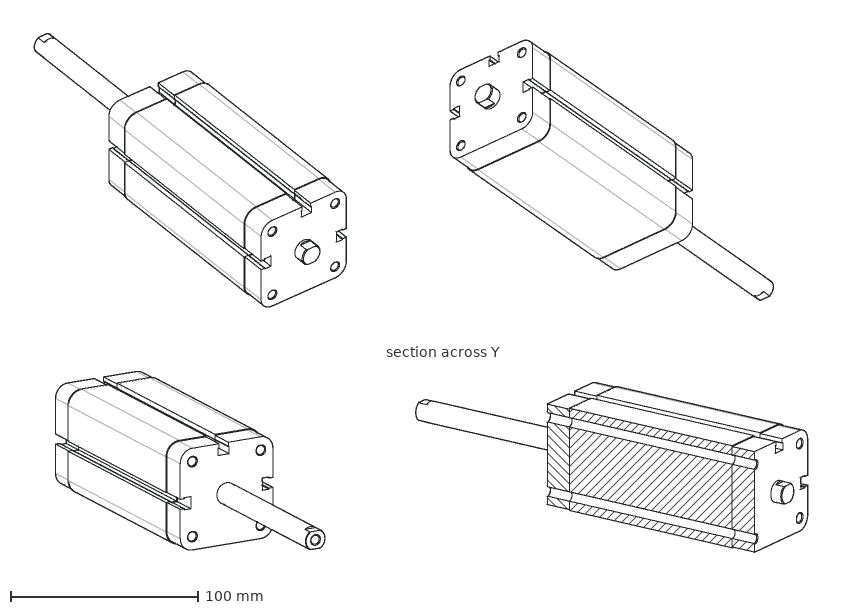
import cadquery as cq
import math


barrel_size = 58.0
cap_step = 0.5
cap_size = barrel_size - 2 * cap_step
cap_length = 14.5
body_length = 135.5
barrel_length = body_length - 2 * cap_length

hole_spacing = 42.0
hole_diameter = 5.0
hole_chamfer = 0.5
barrel_corner_radius = (barrel_size - hole_spacing) / 2
cap_corner_radius = barrel_corner_radius - cap_step

slot_offset = 1.8
mouth_width = 5.6
mouth_depth = 3.0
cap_slot_bottom_width = 6.8
cap_slot_depth = 7.0
barrel_slot_bottom_width = 6.0
barrel_slot_depth = 6.5
slot_turns = (0, 90, -90)

rod_diameter = 12.0
rod_front_length = 96.5
rod_length = 239.0
rod_rear_chamfer = 0.5
rod_front_chamfer = 0.25
flat_width = 10.0
flat_length = 5.5
thread_hole_diameter = 5.0
thread_hole_chamfer = 0.5
thread_hole_depth = 16.0
drill_point_angle = 118.0


def bar(start, length, width, height, y=0, z=0):
    """Rectangular bar along X, centred on the given Y and Z."""
    return cq.Workplane("YZ", origin=(start, y, z)).rect(width, height).extrude(length)


def slots(bottom_width, depth):
    """Cutter for the three sensor slots over the full body length."""
    side = barrel_size / 2
    bottom_height = depth - mouth_depth
    bottom_centre = side - mouth_depth - bottom_height / 2
    mouth = bar(0, body_length, mouth_width, depth, slot_offset, side - depth / 2)
    bottom = bar(0, body_length, bottom_width, bottom_height, slot_offset, bottom_centre)
    top_slot = mouth.union(bottom)
    cutter = cq.Workplane("YZ")
    for turn in slot_turns:
        cutter = cutter.add(top_slot.rotate((0, 0, 0), (1, 0, 0), turn))
    return cutter.combine()


def countersunk_hole():
    """Cutter for one screw hole through the body, chamfered at both outer faces."""
    radius = hole_diameter / 2
    rim_radius = radius + hole_chamfer
    return (
        cq.Workplane("XY")
        .lineTo(0, rim_radius)
        .lineTo(hole_chamfer, radius)
        .lineTo(body_length - hole_chamfer, radius)
        .lineTo(body_length, rim_radius)
        .lineTo(body_length, 0)
        .close()
        .revolve(360, (0, 0, 0), (1, 0, 0))
    )


def screw_holes():
    """Cutter for the four corner screw holes."""
    reach = hole_spacing / 2
    cutter = cq.Workplane("YZ")
    for y in (-reach, reach):
        for z in (-reach, reach):
            cutter = cutter.add(countersunk_hole().translate((0, y, z)))
    return cutter.combine()


def body_section(start, length, size, corner_radius, slot_bottom_width, slot_depth):
    """Rounded square section of the body with slots, screw holes and a bore for the rod."""
    rod_bore = cq.Workplane("YZ").circle(rod_diameter / 2).extrude(body_length)
    return (
        bar(start, length, size, size)
        .edges("|X")
        .fillet(corner_radius)
        .cut(slots(slot_bottom_width, slot_depth))
        .cut(screw_holes())
        .cut(rod_bore)
    )


def wrench_flats(start):
    """Cutter for a pair of flats, on the top and bottom of the rod."""
    around_rod = bar(start, flat_length, rod_diameter, rod_diameter)
    return around_rod.cut(bar(start, flat_length, rod_diameter, flat_width))


def threaded_hole():
    """Cutter for the blind hole in the front end of the rod, ending in a drill point."""
    radius = thread_hole_diameter / 2
    point_length = radius / math.tan(math.radians(drill_point_angle / 2))
    return (
        cq.Workplane("XY", origin=(-rod_front_length, 0, 0))
        .lineTo(0, radius + thread_hole_chamfer)
        .lineTo(thread_hole_chamfer, radius)
        .lineTo(thread_hole_depth, radius)
        .lineTo(thread_hole_depth + point_length, 0)
        .close()
        .revolve(360, (0, 0, 0), (1, 0, 0))
    )


def piston_rod():
    """Round rod with chamfered ends, flats at both ends and a hole in the front end."""
    front_end = -rod_front_length
    rear_end = rod_length - rod_front_length
    return (
        cq.Workplane("YZ", origin=(front_end, 0, 0))
        .circle(rod_diameter / 2)
        .extrude(rod_length)
        .faces(">X")
        .chamfer(rod_rear_chamfer)
        .faces("<X")
        .chamfer(rod_front_chamfer)
        .cut(wrench_flats(front_end))
        .cut(wrench_flats(rear_end - flat_length))
        .cut(threaded_hole())
    )


barrel = body_section(
    cap_length, barrel_length, barrel_size, barrel_corner_radius,
    barrel_slot_bottom_width, barrel_slot_depth,
)
caps = [
    body_section(
        start, cap_length, cap_size, cap_corner_radius,
        cap_slot_bottom_width, cap_slot_depth,
    )
    for start in (0, body_length - cap_length)
]
rod = piston_rod()

result = cq.Compound.makeCompound([barrel.val(), *[cap.val() for cap in caps], rod.val()])